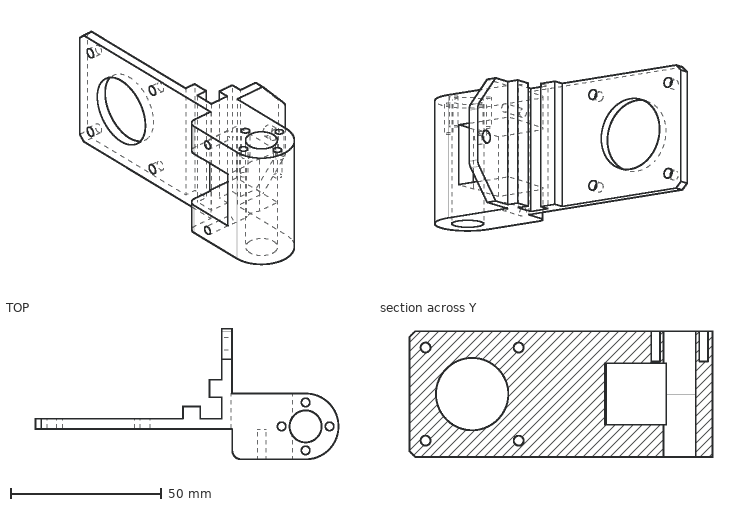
import cadquery as cq

length = 101.0
depth = 43.5
height = 42.0
half_height = height / 2

body_radius = 11.0
body_width = 2 * body_radius
pivot_x = length - body_radius
pivot_y = body_radius
body_left = 65.5
body_corner_radius = 3.0
bore_diameter = 10.6

wall = 3.5
plate_front = 10.1
plate_back = plate_front + wall
flange_left = body_left - wall
plate_chamfer = 2.0
flange_chamfer_y = 10.1
flange_chamfer_z = 11.1
flange_corner_radius = 3.0
flange_hole_diameter = 4.2
flange_hole_inset = 4.9

rib_width = 5.9
rib_height = 4.0
rib_gap = 7.1

motor_x = 20.9
motor_bore_diameter = 24.0
motor_screw_diameter = 3.2
motor_screw_spacing = 31.0

window_size = 20.4
window_left = 65.1

pilot_diameter = 2.8
pilot_depth = 10.1
pilot_circle_radius = 8.0
front_pilot_x = 75.3
front_pilot_inset = 4.1


def block(x_min, x_max, y_min, y_max, block_height=height):
    """Box between the given X and Y limits, centred on the Z = 0 plane."""
    return cq.Workplane("XY").box(
        x_max - x_min, y_max - y_min, block_height, centered=(False, False, True)
    ).translate((x_min, y_min, 0))


def cylinder_along_y(x, z, diameter, y_start, y_length):
    """Cylinder running toward +Y from y_start."""
    circle = cq.Workplane("XZ", origin=(x, y_start, z)).circle(diameter / 2)
    return circle.extrude(-y_length)


def make_body():
    body = block(body_left, pivot_x, 0, body_width)
    body = body.edges("|Z and <X and <Y").fillet(body_corner_radius)
    end = cq.Workplane("XY").center(pivot_x, pivot_y).circle(body_radius)
    return body.union(end.extrude(half_height, both=True))


def make_plate():
    plate = block(0, body_left, plate_front, plate_back)
    plate = plate.edges("|Y and <X").chamfer(plate_chamfer)
    bore = cylinder_along_y(motor_x, 0, motor_bore_diameter, plate_front, wall)
    plate = plate.cut(bore)
    for side_x in (-1, 1):
        for side_z in (-1, 1):
            x = motor_x + side_x * motor_screw_spacing / 2
            z = side_z * motor_screw_spacing / 2
            plate = plate.cut(cylinder_along_y(x, z, motor_screw_diameter, plate_front, wall))
    return plate


def make_flange():
    shoulder_y = depth - flange_chamfer_y
    tip_half_height = half_height - flange_chamfer_z
    flange = (
        cq.Workplane("YZ", origin=(flange_left, 0, 0))
        .moveTo(plate_front, -half_height)
        .lineTo(shoulder_y, -half_height)
        .lineTo(depth, -tip_half_height)
        .lineTo(depth, tip_half_height)
        .lineTo(shoulder_y, half_height)
        .lineTo(plate_front, half_height)
        .close()
        .extrude(wall)
    )
    tip_edges = flange.faces(">Y").edges("|X")
    flange = tip_edges.fillet(flange_corner_radius)
    hole = cq.Workplane("YZ", origin=(flange_left, depth - flange_hole_inset, 0))
    return flange.cut(hole.circle(flange_hole_diameter / 2).extrude(wall))


def make_ribs():
    plate_rib_right = flange_left - rib_gap
    flange_rib_front = plate_back + rib_gap
    plate_rib = block(
        plate_rib_right - rib_width, plate_rib_right, plate_back, plate_back + rib_height
    )
    flange_rib = block(
        flange_left - rib_height, flange_left, flange_rib_front, flange_rib_front + rib_width
    )
    return plate_rib, flange_rib


def cut_body_openings(part):
    part = part.cut(block(window_left, window_left + window_size, 0, body_width, window_size))
    bore = cq.Workplane("XY").center(pivot_x, pivot_y).circle(bore_diameter / 2)
    part = part.cut(bore.extrude(half_height, both=True))
    top_pilots = (
        cq.Workplane("XY", origin=(pivot_x, pivot_y, half_height))
        .polarArray(pilot_circle_radius, 0, 360, 4)
        .circle(pilot_diameter / 2)
        .extrude(-pilot_depth)
    )
    part = part.cut(top_pilots)
    pilot_z = half_height - front_pilot_inset
    for z in (-pilot_z, pilot_z):
        part = part.cut(cylinder_along_y(front_pilot_x, z, pilot_diameter, 0, pilot_depth))
    return part


result = make_body().union(make_plate()).union(make_flange())
for rib in make_ribs():
    result = result.union(rib)
result = cut_body_openings(result)